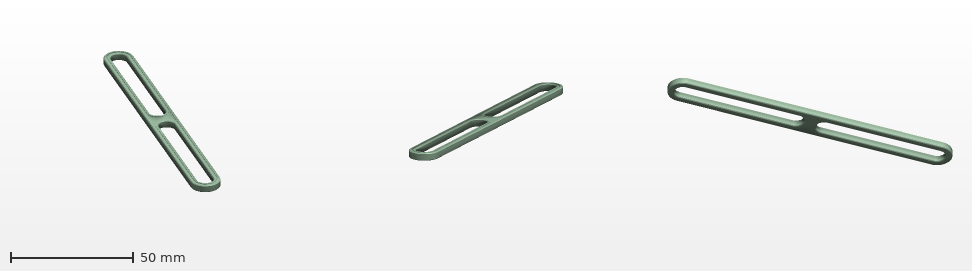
import cadquery as cq

length = 125.0
width = 12.5
thickness = 3.1

rail_width = 2.8
bridge_width = 5.5
opening_width = width - 2 * rail_width
opening_length = (length - bridge_width) / 2 - rail_width
opening_offset = (bridge_width + opening_length) / 2

edge_chamfer = 0.31
border_width = 1.1
recess_depth = 0.19

opening_centers = [(-opening_offset, 0), (opening_offset, 0)]


def stadium_bar(bar_length, bar_width, bar_thickness, centers):
    """Round-ended bars standing on the XY plane, one at each center."""
    return (
        cq.Workplane("XY")
        .pushPoints(centers)
        .slot2D(bar_length, bar_width)
        .extrude(bar_thickness)
    )


def frame():
    """Round-ended bar with both openings cut through and every rim chamfered."""
    bar = stadium_bar(length, width, thickness, [(0, 0)])
    openings = stadium_bar(opening_length, opening_width, thickness, opening_centers)
    return bar.cut(openings).faces("<Z or >Z").edges().chamfer(edge_chamfer)


def top_recess():
    """Shallow area of the top face left between the outer and opening borders."""
    both_borders = 2 * border_width
    area = stadium_bar(length - both_borders, width - both_borders, recess_depth, [(0, 0)])
    borders = stadium_bar(
        opening_length + both_borders, opening_width + both_borders, recess_depth, opening_centers
    )
    return area.cut(borders).translate((0, 0, thickness - recess_depth))


result = frame().cut(top_recess())